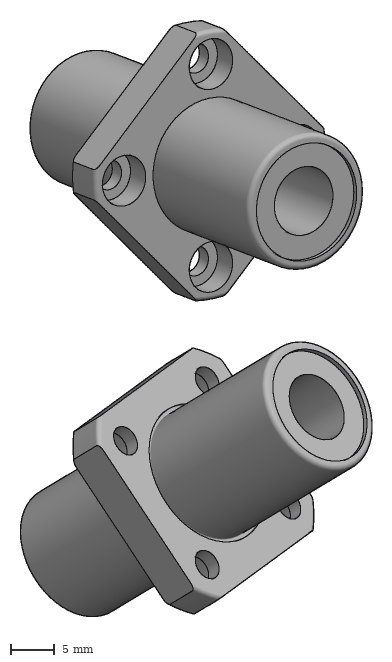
import cadquery as cq

length = 45.0
body_radius = 8.0
body_edge_fillet = 0.6
bore_radius = 4.05

end_recess_radius = 6.95
end_recess_depth = 0.6

flange_start = 20.5
flange_thickness = 5.0
flange_radius = 15.998
flange_square = 25.0
flange_edge_fillet = 0.55

groove_radius = 8.55
groove_depth = 0.5
groove_floor_fillet = 0.15

hole_diameter = 3.5
counterbore_diameter = 6.0
counterbore_depth = 3.1
hole_circle_radius = 12.0
hole_count = 4


def cylinder(radius, start, depth):
    """Solid cylinder along X, beginning at x = start."""
    return cq.Workplane("YZ", origin=(start, 0, 0)).circle(radius).extrude(depth)


def make_body():
    body = cylinder(body_radius, 0, length).edges().fillet(body_edge_fillet)
    for start in (0, length - end_recess_depth):
        body = body.cut(cylinder(end_recess_radius, start, end_recess_depth))
    return body


def hole_pattern(diameter, start, depth):
    """Cylinders at every mounting hole position, beginning at x = start."""
    return (
        cq.Workplane("YZ", origin=(start, 0, 0))
        .polarArray(hole_circle_radius, 0, 360, hole_count)
        .circle(diameter / 2)
        .extrude(depth)
    )


def make_flange():
    disc = cylinder(flange_radius, flange_start, flange_thickness).edges().fillet(flange_edge_fillet)
    square = (
        cq.Workplane("YZ", origin=(flange_start, 0, 0))
        .transformed(rotate=(0, 0, 45))
        .rect(flange_square, flange_square)
        .extrude(flange_thickness)
    )
    counterbore_start = flange_start + flange_thickness - counterbore_depth
    holes = hole_pattern(hole_diameter, flange_start, flange_thickness)
    counterbores = hole_pattern(counterbore_diameter, counterbore_start, counterbore_depth)
    groove = (
        cylinder(groove_radius, flange_start, groove_depth)
        .cut(cylinder(body_radius, flange_start, groove_depth))
        .faces(">X")
        .edges()
        .fillet(groove_floor_fillet)
    )
    return disc.intersect(square).cut(holes).cut(counterbores).cut(groove)


bore = cylinder(bore_radius, 0, length)
result = make_flange().union(make_body()).cut(bore)